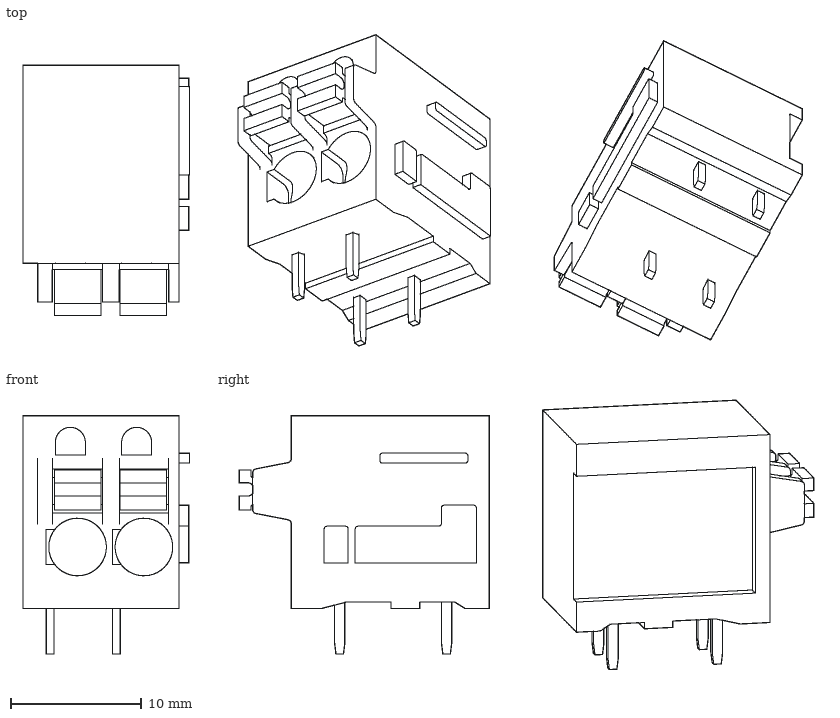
import cadquery as cq


overall_depth = 19.2
pole_count = 2
pole_pitch = 5.09
button_pitch = 5.03

housing_width = 12.0
housing_depth = 15.2
housing_height = 14.8

relief_height = 0.5
relief_front_start = 2.35
relief_front_end = 4.25
foot_front = 7.65
foot_back = 9.87
relief_back_end = 12.54
relief_back_start = 13.35

recess_depth = 1.08
recess_front = 1.15
recess_bottom = 2.38
recess_top = 12.29

tab_radius = 0.21
rail_length_out = 0.8
rail_front = 6.8
rail_back = 13.55
rail_bottom = 11.15
rail_top = 11.92
tab_length_out = 0.75
tab_bottom = 3.51
tab_top = 6.32
front_tab_front = 2.53
front_tab_back = 4.38
arm_front = 11.52
arm_back = 14.2
arm_top = 7.93
arm_foot_front = 4.92

test_hole_radius = 1.15
test_hole_x = 3.65
test_hole_bottom = 11.79
test_hole_centre_z = 12.75
test_hole_depth = 3.84

wire_hole_radius = 2.2
wire_hole_x = 4.2
wire_hole_z = 4.72
wire_hole_depth = 5.76
side_pocket_x = 1.79
side_pocket_height = 2.67
side_pocket_depth = 2.88
side_pocket_radius = 0.71

guide_z = 9.0
rib_spans = [(1.13, 2.27), (6.1, 7.41), (11.2, housing_width)]
rib_length_out = 2.95
rib_base_half = 2.25
rib_tip_half = 1.67
rib_radius = 0.3
pad_length_out = 0.48
pad_half = 1.69
guide_root = 0.96
guide_root_half = 2.69

button_x = 2.42
button_width = 3.6
button_inner_end = 1.92
neck_bottom = 7.97
neck_top = 10.06
head_front = overall_depth - housing_depth
head_back = 3.07
head_bottom = 7.55
head_top = 10.64
neck_fillet = 0.15
button_slot_radius = 0.5
button_slot_z = 9.14
button_slot_centre_out = 3.35

pin_x = side_pocket_x
pin_thickness = 0.61
pin_width = 0.8
pin_tip_width = 0.6
pin_taper_height = 0.86
pin_length_out = 3.5
pin_length_in = 1.92
pin_front_y = 3.72
pin_row_pitch = 8.2
pin_rows = 2


def box(x_range, y_range, z_range):
    """Box given by its two limits along each axis."""
    size = [high - low for low, high in (x_range, y_range, z_range)]
    corner = (x_range[0], y_range[0], z_range[0])
    return cq.Workplane("XY").box(*size, centered=False).translate(corner)


def side_extrusion(points, x_start, x_end):
    """Closed (Y, Z) outline extruded along X."""
    return cq.Workplane("YZ", origin=(x_start, 0, 0)).polyline(points).close().extrude(x_end - x_start)


def edges_along_x(body, places, reach=0.02):
    """Edges parallel to X that pass through the given (Y, Z) places."""
    edges = body.edges("|X").vals()
    chosen = [
        edge for edge in edges
        if any(abs(edge.Center().y - y) < reach and abs(edge.Center().z - z) < reach for y, z in places)
    ]
    return body.newObject(chosen)


def housing_block():
    outline = [
        (0, 0),
        (relief_front_start, 0),
        (relief_front_end, relief_height),
        (foot_front, relief_height),
        (foot_front, 0),
        (foot_back, 0),
        (foot_back, relief_height),
        (relief_back_end, relief_height),
        (relief_back_start, 0),
        (housing_depth, 0),
        (housing_depth, housing_height),
        (0, housing_height),
    ]
    return side_extrusion(outline, 0, housing_width)


def side_recess():
    return box((0, recess_depth), (recess_front, housing_depth), (recess_bottom, recess_top))


def locking_rail():
    rail = box(
        (housing_width, housing_width + rail_length_out),
        (rail_front, rail_back),
        (rail_bottom, rail_top),
    )
    return rail.edges("|X").fillet(tab_radius)


def front_tab():
    tab = box(
        (housing_width, housing_width + tab_length_out),
        (front_tab_front, front_tab_back),
        (tab_bottom, tab_top),
    )
    return tab.edges("|X and >Z").fillet(tab_radius)


def rear_tab():
    """L-shaped tab: a tall arm with a low foot reaching forward."""
    rounded_corners = [(arm_foot_front, tab_top), (arm_front, tab_top), (arm_front, arm_top), (arm_back, arm_top)]
    outline = [(arm_back, tab_bottom), (arm_foot_front, tab_bottom), *rounded_corners]
    tab = side_extrusion(outline, housing_width, housing_width + tab_length_out)
    return edges_along_x(tab, rounded_corners).fillet(tab_radius)


def guide_boss(x_start, x_end, base_half, tip_half, length_out, round_tip):
    """Boss tapering out of the front face, blended into it by fillets.

    Its wide root lies inside the housing so that the base fillets have a face to run into.
    """
    upper = [(guide_root, guide_root_half), (0, guide_root_half), (0, base_half), (-length_out, tip_half)]
    outline = [(y, guide_z + half) for y, half in upper]
    outline += [(y, guide_z - half) for y, half in reversed(upper)]
    rounded_corners = [(0, guide_z + base_half), (0, guide_z - base_half)]
    if round_tip:
        rounded_corners += [(-length_out, guide_z + tip_half), (-length_out, guide_z - tip_half)]
    boss = side_extrusion(outline, x_start, x_end)
    return edges_along_x(boss, rounded_corners).fillet(rib_radius)


def rib(x_start, x_end):
    return guide_boss(x_start, x_end, rib_base_half, rib_tip_half, rib_length_out, True)


def pad(x_start, x_end):
    return guide_boss(x_start, x_end, pad_half, pad_half, pad_length_out, False)


def button_window(x_start, x_end):
    return box((x_start, x_end), (-pad_length_out, button_inner_end), (neck_bottom, neck_top))


def test_hole(pole):
    x = test_hole_x + pole * pole_pitch
    round_top = (
        cq.Workplane("XZ", origin=(x, 0, test_hole_centre_z)).circle(test_hole_radius).extrude(-test_hole_depth)
    )
    straight_part = box(
        (x - test_hole_radius, x + test_hole_radius),
        (0, test_hole_depth),
        (test_hole_bottom, test_hole_centre_z),
    )
    below_bottom = box(
        (x - test_hole_radius, x + test_hole_radius),
        (0, test_hole_depth),
        (test_hole_centre_z - 2 * test_hole_radius, test_hole_bottom),
    )
    return round_top.union(straight_part).cut(below_bottom)


def wire_entry(pole):
    offset = pole * pole_pitch
    hole = (
        cq.Workplane("XZ", origin=(wire_hole_x + offset, 0, wire_hole_z))
        .circle(wire_hole_radius)
        .extrude(-wire_hole_depth)
    )
    pocket = box(
        (side_pocket_x + offset, wire_hole_x + offset),
        (0, side_pocket_depth),
        (wire_hole_z - side_pocket_height / 2, wire_hole_z + side_pocket_height / 2),
    )
    return hole.union(pocket.edges("|X and >Y").fillet(side_pocket_radius))


def make_button(pole):
    x_start = button_x + pole * button_pitch
    x_end = x_start + button_width
    outline = [
        (button_inner_end, neck_bottom),
        (-head_back, neck_bottom),
        (-head_back, head_bottom),
        (-head_front, head_bottom),
        (-head_front, head_top),
        (-head_back, head_top),
        (-head_back, neck_top),
        (button_inner_end, neck_top),
    ]
    button = side_extrusion(outline, x_start, x_end)
    button = edges_along_x(button, [(-head_back, neck_bottom), (-head_back, neck_top)]).fillet(neck_fillet)
    slot_bottom = (
        cq.Workplane("YZ", origin=(x_start, -button_slot_centre_out, button_slot_z))
        .circle(button_slot_radius)
        .extrude(button_width)
    )
    slot_mouth = box(
        (x_start, x_end),
        (-head_front, -button_slot_centre_out),
        (button_slot_z - button_slot_radius, button_slot_z + button_slot_radius),
    )
    return button.cut(slot_bottom).cut(slot_mouth)


def make_pin(pole, row):
    """Flat pin whose lower end narrows in width only."""
    x = pin_x + pole * pole_pitch
    y = pin_front_y + row * pin_row_pitch
    half_outline = [
        (pin_width / 2, pin_length_in),
        (pin_width / 2, pin_taper_height - pin_length_out),
        (pin_tip_width / 2, -pin_length_out),
    ]
    outline = [(y + half, z) for half, z in half_outline]
    outline += [(y - half, z) for half, z in reversed(half_outline)]
    return side_extrusion(outline, x, x + pin_thickness)


def make_housing(pins):
    housing = housing_block().cut(side_recess())
    for tab in (locking_rail(), front_tab(), rear_tab()):
        housing = housing.union(tab)
    for span in rib_spans:
        housing = housing.union(rib(*span))
    for left_rib, right_rib in zip(rib_spans, rib_spans[1:]):
        gap = (left_rib[1], right_rib[0])
        housing = housing.union(pad(*gap)).cut(button_window(*gap))
    for pole in range(pole_count):
        housing = housing.cut(test_hole(pole)).cut(wire_entry(pole))
    for pin in pins:
        housing = housing.cut(pin)
    return housing


buttons = [make_button(pole) for pole in range(pole_count)]
pins = [make_pin(pole, row) for pole in range(pole_count) for row in range(pin_rows)]
housing = make_housing(pins)

result = cq.Compound.makeCompound([
    housing.val(),
    *[button.val() for button in buttons],
    *[pin.val() for pin in pins],
])